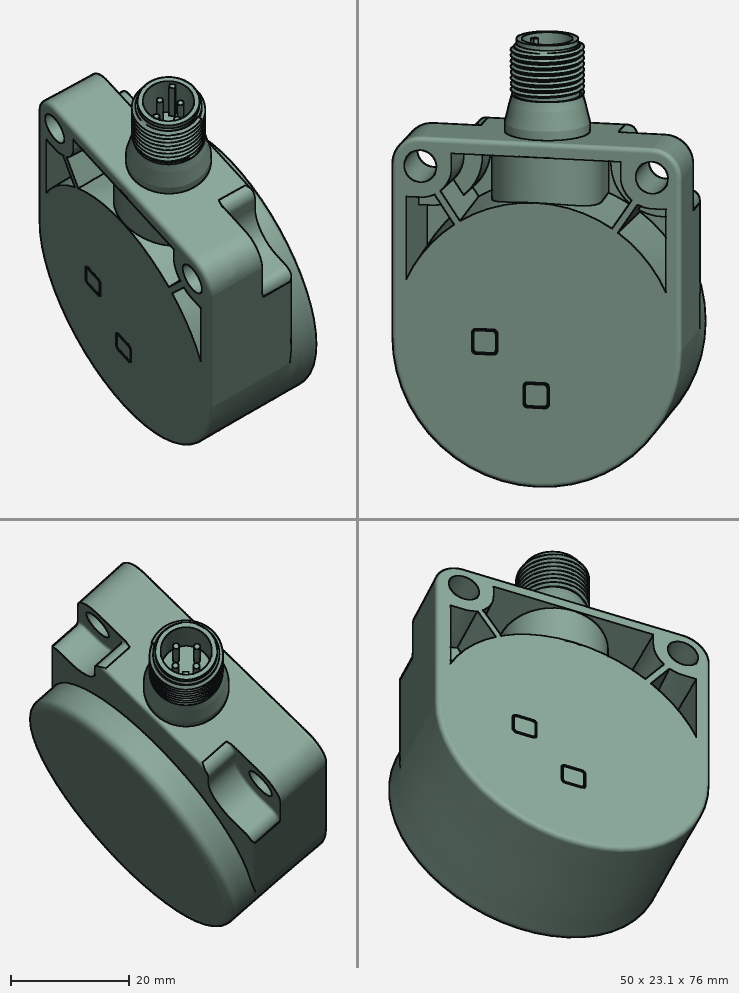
import cadquery as cq
import math


HALF_WIDTH = 25.0
TOTAL_HEIGHT = 76.0
TOTAL_DEPTH = 23.1
TIP_Z = TOTAL_HEIGHT - HALF_WIDTH

BODY_TOP = 35.0
BODY_DEPTH = 17.4
BODY_DRAFT = 0.7
DRAFT_SLOPE = math.tan(math.radians(BODY_DRAFT))
BACK_INSET = BODY_DEPTH * DRAFT_SLOPE
FRONT_FILLET = 0.8
BACK_FILLET = 0.6

CORNER_RADIUS = 5.0
HOLE_X = HALF_WIDTH - CORNER_RADIUS
HOLE_Z = BODY_TOP - CORNER_RADIUS
HOLE_DIAMETER = 5.55
EAR_DEPTH = 11.0
NOTCH_RADIUS = 6.1
NOTCH_FLARE = 2.05
NOTCH_FLOOR_FILLET = 0.45

LID_START = 19.5
LID_RADIUS = HALF_WIDTH - LID_START * DRAFT_SLOPE
LID_FILLET = 1.45

POCKET_HALF_WIDTH = 22.4
POCKET_TOP = 32.5
POCKET_DEPTH = 14.8
FACE_RADIUS = 24.6
EAR_WALL_RADIUS = 5.4
POCKET_DRAFT = 2.0
STEP_RADIUS = 8.9
STEP_DEPTH = 8.75
RIB_WIDTH = 1.2

PLUG_Y = 9.35
SLEEVE_RADIUS = 9.4
SLEEVE_Y = 9.5
COLLAR_RADIUS = 7.2
COLLAR_TOP = 36.55
NECK_RADIUS = 6.45
NECK_Z = 39.75
NECK_END_RADIUS = 6.0
NECK_END_Z = 41.35
THREAD_RADIUS = 6.2
ROOT_RADIUS = 5.6
THREAD_PITCH = 1.0
THREAD_ROOT_WIDTH = 0.9
THREAD_OVERLAP = 0.1
THREAD_START = 41.65
THREAD_HEIGHT = 8.0
TIP_RADIUS = 5.25
TIP_LENGTH = 0.8
TIP_CHAMFER = 0.45
BORE_RADIUS = 4.3
BORE_DEPTH = 8.35
PIN_RADIUS = 0.5
PIN_CIRCLE_RADIUS = 2.5
PIN_RECESS = 2.3
PIN_COUNT = 4
KEY_WIDTH = 1.0
KEY_DEPTH = 0.8
KEY_RECESS = 0.75
KEY_ANGLE = 135

WINDOW_SIZE = 4.4
WINDOW_CORNER = 0.75
WINDOW_OFFSET = 8.9
WINDOW_GROOVE = 0.3
WINDOW_CENTRES = [(-WINDOW_OFFSET, 0), (0, -WINDOW_OFFSET)]

SIDES = (-1, 1)
COS_45 = math.sqrt(0.5)


def front_plane(y=0.0):
    """Sketch plane with local x = X, local y = Z; positive extrusion goes to -Y."""
    return cq.Workplane("XZ", origin=(0, y, 0))


def corner_block(side, radius, start):
    """Drafted block over one top corner, rounded about the hole on its inner side."""
    inner_x = HOLE_X - radius
    low_z = HOLE_Z - radius
    far = HALF_WIDTH + radius
    mid = radius * COS_45
    return (
        front_plane(start)
        .moveTo(side * inner_x, BODY_TOP + radius)
        .lineTo(side * inner_x, HOLE_Z)
        .threePointArc((side * (HOLE_X - mid), HOLE_Z - mid), (side * HOLE_X, low_z))
        .lineTo(side * far, low_z)
        .lineTo(side * far, BODY_TOP + radius)
        .close()
        .extrude(start - POCKET_DEPTH, taper=-POCKET_DRAFT)
    )


def notch(side):
    """Space behind one ear; its wall flares out to the top and to the side."""
    r = NOTCH_RADIUS
    f = NOTCH_FLARE
    wall_x = HOLE_X - r
    wall_z = HOLE_Z - r
    side_x = HALF_WIDTH - BACK_INSET
    top_z = BODY_TOP - BACK_INSET
    mid = r * COS_45
    bend = f * (1 - COS_45)
    return (
        front_plane(EAR_DEPTH)
        .moveTo(side * (wall_x - f), top_z)
        .threePointArc((side * (wall_x - bend), top_z - bend), (side * wall_x, top_z - f))
        .lineTo(side * wall_x, HOLE_Z)
        .threePointArc((side * (HOLE_X - mid), HOLE_Z - mid), (side * HOLE_X, wall_z))
        .lineTo(side * (side_x - f), wall_z)
        .threePointArc((side * (side_x - bend), wall_z - bend), (side * side_x, wall_z - f))
        .lineTo(side * (side_x + f), wall_z - f)
        .lineTo(side * (side_x + f), top_z + f)
        .lineTo(side * (wall_x - f), top_z + f)
        .close()
        .extrude(EAR_DEPTH - TOTAL_DEPTH)
        .faces("<Y")
        .edges()
        .fillet(NOTCH_FLOOR_FILLET)
    )


def make_body():
    r = CORNER_RADIUS
    bend = r * (1 - COS_45)
    body = (
        front_plane()
        .moveTo(-HALF_WIDTH, 0)
        .threePointArc((0, -HALF_WIDTH), (HALF_WIDTH, 0))
        .lineTo(HALF_WIDTH, HOLE_Z)
        .threePointArc((HALF_WIDTH - bend, BODY_TOP - bend), (HOLE_X, BODY_TOP))
        .lineTo(-HOLE_X, BODY_TOP)
        .threePointArc((bend - HALF_WIDTH, BODY_TOP - bend), (-HALF_WIDTH, HOLE_Z))
        .close()
        .extrude(-BODY_DEPTH, taper=BODY_DRAFT)
    )
    body = body.faces("<Y").edges().fillet(FRONT_FILLET)
    body = body.faces(">Y").edges().fillet(BACK_FILLET)
    for side in SIDES:
        body = body.cut(notch(side))
    return body


def make_round_housing():
    """Round housing that continues the body's draft, closed by a straight lid."""
    housing = (
        front_plane(LID_START)
        .circle(LID_RADIUS)
        .extrude(LID_START - BODY_DEPTH + BACK_FILLET, taper=-BODY_DRAFT)
    )
    lid = (
        front_plane(LID_START)
        .circle(LID_RADIUS)
        .extrude(LID_START - TOTAL_DEPTH)
        .faces(">Y")
        .edges()
        .fillet(LID_FILLET)
    )
    return housing.union(lid)


def make_pockets():
    """Everything removed from the front face between the ears and the round face."""
    pockets = (
        front_plane()
        .rect(2 * POCKET_HALF_WIDTH, 2 * POCKET_TOP)
        .extrude(-POCKET_DEPTH, taper=POCKET_DRAFT)
    )
    lower_half = (
        cq.Workplane("XY")
        .box(2 * HALF_WIDTH, POCKET_DEPTH, POCKET_TOP, centered=(True, False, False))
        .translate((0, 0, -POCKET_TOP))
    )
    round_face = front_plane().circle(FACE_RADIUS).extrude(-POCKET_DEPTH, taper=-POCKET_DRAFT)
    pockets = pockets.cut(lower_half).cut(round_face)
    rib_length = math.hypot(HOLE_X, HOLE_Z)
    rib_angle = math.degrees(math.atan2(HOLE_X, HOLE_Z))
    for side in SIDES:
        rib = (
            front_plane()
            .center(0, rib_length / 2)
            .rect(RIB_WIDTH, rib_length)
            .extrude(-POCKET_DEPTH, taper=-POCKET_DRAFT)
            .rotate((0, 0, 0), (0, 1, 0), side * rib_angle)
        )
        pockets = pockets.cut(rib)
        pockets = pockets.cut(corner_block(side, EAR_WALL_RADIUS, 0))
        pockets = pockets.cut(corner_block(side, STEP_RADIUS, STEP_DEPTH))
    sleeve = (
        cq.Workplane("XY", origin=(0, SLEEVE_Y, 0))
        .circle(SLEEVE_RADIUS)
        .extrude(BODY_TOP)
    )
    sleeve_back = (
        cq.Workplane("XY", origin=(0, SLEEVE_Y, 0))
        .box(2 * SLEEVE_RADIUS, POCKET_DEPTH - SLEEVE_Y, BODY_TOP, centered=(True, False, False))
    )
    return pockets.cut(sleeve).cut(sleeve_back)


def make_holes():
    return (
        front_plane()
        .pushPoints([(side * HOLE_X, HOLE_Z) for side in SIDES])
        .circle(HOLE_DIAMETER / 2)
        .extrude(-BODY_DEPTH)
    )


def make_window_grooves():
    """Narrow square grooves framing the indicator windows."""
    outer = (
        front_plane()
        .pushPoints(WINDOW_CENTRES)
        .rect(WINDOW_SIZE, WINDOW_SIZE)
        .extrude(-WINDOW_GROOVE)
        .edges("|Y")
        .fillet(WINDOW_CORNER)
    )
    inner_size = WINDOW_SIZE - 2 * WINDOW_GROOVE
    inner = (
        front_plane()
        .pushPoints(WINDOW_CENTRES)
        .rect(inner_size, inner_size)
        .extrude(-WINDOW_GROOVE)
        .edges("|Y")
        .fillet(WINDOW_CORNER - WINDOW_GROOVE)
    )
    return outer.cut(inner)


def make_thread():
    """Helical ridge with a triangular section, rooted just inside the core."""
    root = ROOT_RADIUS - THREAD_OVERLAP
    half = THREAD_ROOT_WIDTH / 2
    helix = cq.Wire.makeHelix(THREAD_PITCH, THREAD_HEIGHT, root)
    return (
        cq.Workplane("XZ")
        .moveTo(root, -half)
        .lineTo(THREAD_RADIUS, 0)
        .lineTo(root, half)
        .close()
        .sweep(cq.Workplane(helix), isFrenet=True)
        .translate((0, 0, THREAD_START))
    )


def make_plug():
    """Connector built about the Z axis, then moved to its place."""
    base_z = BODY_TOP - FRONT_FILLET
    tip_base = TIP_Z - TIP_LENGTH
    plug = (
        cq.Workplane("XZ")
        .moveTo(0, base_z)
        .lineTo(COLLAR_RADIUS, base_z)
        .lineTo(COLLAR_RADIUS, COLLAR_TOP)
        .lineTo(NECK_RADIUS, NECK_Z)
        .lineTo(NECK_END_RADIUS, NECK_END_Z)
        .lineTo(ROOT_RADIUS, NECK_END_Z)
        .lineTo(ROOT_RADIUS, tip_base - TIP_CHAMFER)
        .lineTo(TIP_RADIUS, tip_base)
        .lineTo(TIP_RADIUS, TIP_Z)
        .lineTo(0, TIP_Z)
        .close()
        .revolve(360, (0, 0, 0), (0, 1, 0))
        .union(make_thread())
    )
    bore_floor = cq.Workplane("XY", origin=(0, 0, TIP_Z - BORE_DEPTH))
    bore = bore_floor.circle(BORE_RADIUS).extrude(BORE_DEPTH)
    key = (
        bore_floor
        .center(BORE_RADIUS, 0)
        .rect(2 * KEY_DEPTH, KEY_WIDTH)
        .extrude(BORE_DEPTH - KEY_RECESS)
        .rotate((0, 0, 0), (0, 0, 1), KEY_ANGLE)
    )
    pins = (
        bore_floor
        .polarArray(PIN_CIRCLE_RADIUS, 0, 360, PIN_COUNT)
        .circle(PIN_RADIUS)
        .extrude(BORE_DEPTH - PIN_RECESS)
    )
    return plug.cut(bore.cut(key).cut(pins)).translate((0, PLUG_Y, 0))


result = (
    make_body()
    .union(make_round_housing())
    .cut(make_pockets())
    .cut(make_holes())
    .cut(make_window_grooves())
    .union(make_plug())
    .solids()
)